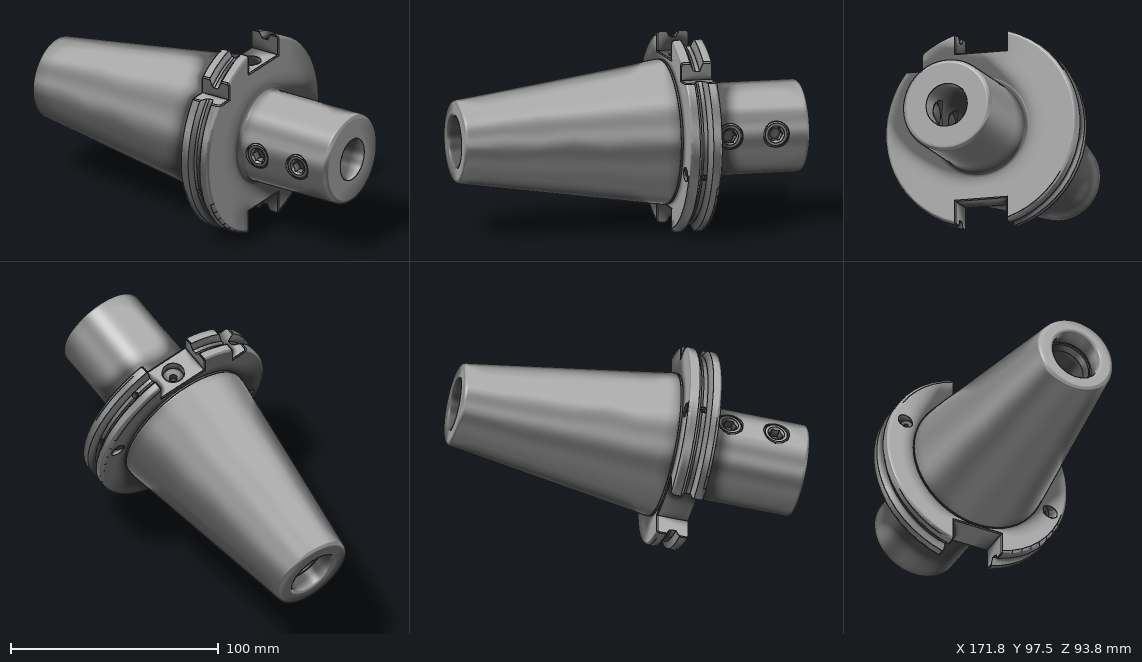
import cadquery as cq
import math

TOTAL_LENGTH = 171.8

TAPER_LENGTH = 102.7
TAPER_LARGE_DIAMETER = 70.0
TAPER_RATIO = 7 / 24
TAPER_TIP_FILLET = 2.4
RELIEF_DEPTH = 0.2
RELIEF_WIDTH = 1.0

FLANGE_START = 104.8
FLANGE_END = 120.7
FLANGE_DIAMETER = 97.5
FLANGE_RIM_FILLET = 1.5
GROOVE_START = 109.4
GROOVE_END = 116.1
GROOVE_DEPTH = 3.3
GROOVE_LEFT_SHOULDER_DEPTH = 2.7
GROOVE_WALL_ANGLE = 30
GROOVE_FLOOR_WIDTH = 2.0

NOSE_DIAMETER = 45.0
NOSE_FILLET = 2.0

BORE_RADIUS = 10.5
COUNTERBORE_RADIUS = 12.5
COUNTERBORE_DEPTH = 9.6
COUNTERBORE_MOUTH_FILLET = 1.5
STEP_RADIUS = 11.9
STEP_END = 10.8
BORE_CONE_END = 14.0

SLOT_WIDTH = 25.8
TOP_SLOT_FLOOR = 37.3
BOTTOM_SLOT_FLOOR = 35.5
NOTCH_WALL = 30.0
CUTOUT_CHAMFER = 0.5

SLOT_HOLE_RADIUS = 5.3
SLOT_HOLE_DEPTH = 5.2
SLOT_PILOT_RADIUS = 1.9
SLOT_PILOT_DEPTH = 3.5
DRILL_POINT_ANGLE = 118

COOLANT_ANGLE = 20
COOLANT_TILT = 32
COOLANT_MOUTH_DISTANCE = 41.5
COOLANT_RADIUS = 3.3
COOLANT_DEPTH = 3.1
COOLANT_CHANNEL_RADIUS = 1.0
COOLANT_CHANNEL_DEPTH = 17.2
GROOVE_HOLE_RADIUS = 1.5
GROOVE_HOLE_DEPTH = 0.9
GROOVE_CHANNEL_RADIUS = 0.7
GROOVE_CHANNEL_DEPTH = 5.2

SIDE_HOLE_ANGLE = 60
SIDE_HOLE_DEPTH = 5.2

SCREW_POSITIONS = (131.7, 154.7)
SCREW_RADIUS = 6.4
SCREW_OUTER_END = 21.8
SCREW_INNER_END = 10.8
SCREW_CHAMFER = 0.9
SOCKET_FLATS = 6.0
SOCKET_DEPTH = 5.2
SOCKET_CHAMFER_RADIUS = 4.1

flange_radius = FLANGE_DIAMETER / 2
nose_radius = NOSE_DIAMETER / 2
taper_large_radius = TAPER_LARGE_DIAMETER / 2
taper_small_radius = taper_large_radius - TAPER_LENGTH * TAPER_RATIO / 2
groove_floor_radius = flange_radius - GROOVE_DEPTH
groove_middle = (GROOVE_START + GROOVE_END) / 2


def cylinder(start, direction, radius, length):
    return cq.Workplane(cq.Solid.makeCylinder(radius, length, cq.Vector(*start), cq.Vector(*direction)))


def cone(start, direction, start_radius, end_radius, length):
    solid = cq.Solid.makeCone(start_radius, end_radius, length, cq.Vector(*start), cq.Vector(*direction))
    return cq.Workplane(solid)


def drilled_hole(start, direction, radius, length):
    """Blind hole with a drill point beyond its cylindrical length."""
    point = tuple(s + length * d for s, d in zip(start, direction))
    point_length = radius / math.tan(math.radians(DRILL_POINT_ANGLE / 2))
    return cylinder(start, direction, radius, length).union(cone(point, direction, radius, 0, point_length))


def revolve_about_x(outline):
    return outline.close().revolve(360, (0, 0, 0), (1, 0, 0))


def make_taper():
    relief_radius = taper_large_radius - RELIEF_DEPTH
    outline = (
        cq.Workplane("XY")
        .lineTo(0, taper_small_radius)
        .lineTo(TAPER_LENGTH, taper_large_radius)
        .lineTo(FLANGE_START - RELIEF_WIDTH, taper_large_radius)
        .lineTo(FLANGE_START - RELIEF_WIDTH, relief_radius)
        .lineTo(FLANGE_START, relief_radius)
        .lineTo(FLANGE_START, 0)
    )
    return revolve_about_x(outline).faces("<X").edges().fillet(TAPER_TIP_FILLET)


def make_flange():
    wall_slope = math.tan(math.radians(GROOVE_WALL_ANGLE))
    shoulder_x = GROOVE_START + GROOVE_LEFT_SHOULDER_DEPTH * wall_slope
    floor_end = GROOVE_END - GROOVE_DEPTH * wall_slope
    disc = cylinder((FLANGE_START, 0, 0), (1, 0, 0), flange_radius, FLANGE_END - FLANGE_START)
    disc = disc.edges().fillet(FLANGE_RIM_FILLET)
    groove = (
        cq.Workplane("XY")
        .moveTo(GROOVE_START, flange_radius)
        .lineTo(shoulder_x, flange_radius - GROOVE_LEFT_SHOULDER_DEPTH)
        .lineTo(floor_end - GROOVE_FLOOR_WIDTH, groove_floor_radius)
        .lineTo(floor_end, groove_floor_radius)
        .lineTo(GROOVE_END, flange_radius)
    )
    return disc.cut(revolve_about_x(groove))


def flange_block(y_low, y_high, z_low, z_high):
    """Block over the full thickness of the flange."""
    width = y_high - y_low
    height = z_high - z_low
    length = FLANGE_END - FLANGE_START
    corner = cq.Vector(FLANGE_START, y_low, z_low)
    return cq.Workplane(cq.Solid.makeBox(length, width, height, corner))


def cut_slots_and_notch(flange):
    half_width = SLOT_WIDTH / 2
    flange = flange.cut(flange_block(-half_width, half_width, TOP_SLOT_FLOOR, flange_radius))
    flange = flange.cut(flange_block(-half_width, half_width, -flange_radius, -BOTTOM_SLOT_FLOOR))
    flange = flange.cut(flange_block(-flange_radius, -NOTCH_WALL, NOTCH_WALL, flange_radius))
    for end_face in ("<X", ">X"):
        flange = flange.faces(end_face).edges("|Y or |Z").chamfer(CUTOUT_CHAMFER)
    return flange


def make_nose():
    nose = cylinder((FLANGE_END, 0, 0), (1, 0, 0), nose_radius, TOTAL_LENGTH - FLANGE_END)
    nose = nose.faces(">X").edges().fillet(NOSE_FILLET)
    root = (
        cq.Workplane("XY")
        .moveTo(FLANGE_END, 0)
        .lineTo(FLANGE_END, nose_radius + NOSE_FILLET)
        .radiusArc((FLANGE_END + NOSE_FILLET, nose_radius), -NOSE_FILLET)
        .lineTo(FLANGE_END + NOSE_FILLET, 0)
    )
    return nose.union(revolve_about_x(root))


def make_bore():
    mouth_radius = COUNTERBORE_RADIUS + COUNTERBORE_MOUTH_FILLET
    outline = (
        cq.Workplane("XY")
        .lineTo(0, mouth_radius)
        .radiusArc((COUNTERBORE_MOUTH_FILLET, COUNTERBORE_RADIUS), -COUNTERBORE_MOUTH_FILLET)
        .lineTo(COUNTERBORE_DEPTH, COUNTERBORE_RADIUS)
        .lineTo(COUNTERBORE_DEPTH, STEP_RADIUS)
        .lineTo(STEP_END, STEP_RADIUS)
        .lineTo(BORE_CONE_END, BORE_RADIUS)
        .lineTo(TOTAL_LENGTH, BORE_RADIUS)
        .lineTo(TOTAL_LENGTH, 0)
    )
    return revolve_about_x(outline)


def make_slot_hole():
    down = (0, 0, -1)
    hole = cylinder((groove_middle, 0, TOP_SLOT_FLOOR), down, SLOT_HOLE_RADIUS, SLOT_HOLE_DEPTH)
    pilot_top = TOP_SLOT_FLOOR - SLOT_HOLE_DEPTH
    return hole.union(drilled_hole((groove_middle, 0, pilot_top), down, SLOT_PILOT_RADIUS, SLOT_PILOT_DEPTH))


def make_face_hole():
    """Stepped hole from the flange face, tilted towards the axis, on the +Y side."""
    tilt = math.radians(COOLANT_TILT)
    direction = (math.cos(tilt), -math.sin(tilt), 0)
    mouth = (FLANGE_START, COOLANT_MOUTH_DISTANCE, 0)
    overrun = 2 * COOLANT_RADIUS
    start = tuple(m - overrun * d for m, d in zip(mouth, direction))
    hole = cylinder(start, direction, COOLANT_RADIUS, overrun + COOLANT_DEPTH)
    hole = hole.intersect(flange_block(0, flange_radius, -flange_radius, flange_radius))
    return hole.union(cylinder(mouth, direction, COOLANT_CHANNEL_RADIUS, COOLANT_CHANNEL_DEPTH))


def make_groove_hole():
    """Stepped radial hole in the floor of the gripper groove, on the +Y side."""
    inward = (0, -1, 0)
    top = (groove_middle, flange_radius, 0)
    hole_length = GROOVE_DEPTH + GROOVE_HOLE_DEPTH
    hole = cylinder(top, inward, GROOVE_HOLE_RADIUS, hole_length)
    return hole.union(cylinder(top, inward, GROOVE_CHANNEL_RADIUS, hole_length + GROOVE_CHANNEL_DEPTH))


def make_side_hole():
    """Plain radial hole in the floor of the gripper groove, on the +Y side."""
    top = (groove_middle, flange_radius, 0)
    return cylinder(top, (0, -1, 0), GROOVE_HOLE_RADIUS, GROOVE_DEPTH + SIDE_HOLE_DEPTH)


def turned_about_x(shape, angle):
    return shape.rotate((0, 0, 0), (1, 0, 0), angle)


def make_screw_hole(x):
    return cylinder((x, 0, 0), (0, -1, 0), SCREW_RADIUS, nose_radius)


def make_housing():
    body = make_taper().union(cut_slots_and_notch(make_flange())).union(make_nose())
    body = body.cut(make_bore()).cut(make_slot_hole())
    for angle in (COOLANT_ANGLE, COOLANT_ANGLE + 180):
        body = body.cut(turned_about_x(make_face_hole(), angle))
        body = body.cut(turned_about_x(make_groove_hole(), angle))
    body = body.cut(turned_about_x(make_side_hole(), SIDE_HOLE_ANGLE))
    for x in SCREW_POSITIONS:
        body = body.cut(make_screw_hole(x))
    return body


def make_screw(x):
    inward = (0, 1, 0)
    outer_end = (x, -SCREW_OUTER_END, 0)
    length = SCREW_OUTER_END - SCREW_INNER_END
    screw = cylinder(outer_end, inward, SCREW_RADIUS, length).edges().chamfer(SCREW_CHAMFER)
    socket = (
        cq.Workplane("XZ", origin=outer_end)
        .polygon(6, SOCKET_FLATS / math.cos(math.pi / 6))
        .extrude(-SOCKET_DEPTH)
    )
    lead_in = cone(outer_end, inward, SOCKET_CHAMFER_RADIUS, 0, SOCKET_CHAMFER_RADIUS)
    return screw.cut(socket).cut(lead_in)


housing = make_housing()
screws = [make_screw(x) for x in SCREW_POSITIONS]

result = cq.Compound.makeCompound([housing.val(), *[screw.val() for screw in screws]])